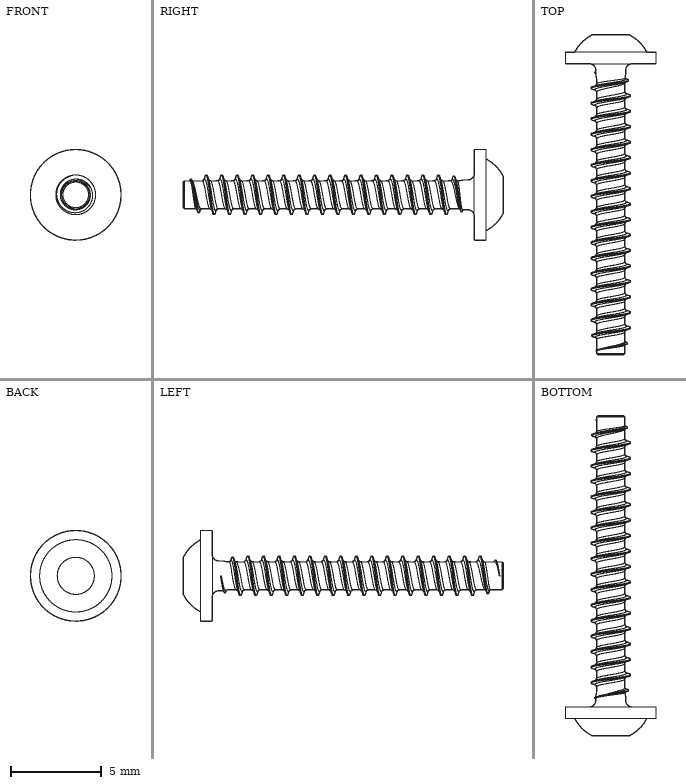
import cadquery as cq
import math

overall_length = 17.6

head_height = 1.6
flange_radius = 2.5
flange_thickness = 0.65
flange_edge_round = 0.05
dome_base_radius = 1.99
dome_flat_radius = 1.02

neck_fillet = 0.35
neck_radius = 0.83
neck_length = 0.56
neck_taper_length = 0.32
core_radius = 0.77
tip_chamfer = 0.07
tip_y = head_height - overall_length

thread_start_y = -0.48
thread_length = 15.31
thread_turns = 18
pitch = thread_length / thread_turns
crest_radius = 1.1
crest_half_width = 0.026
shoulder_radius = 0.86
shoulder_half_width = 0.09
foot_half_width = 0.28
buried_radius = 0.74
start_share = 0.4
end_share = 0.2
start_fade_turns = 1.0
end_fade_turns = 1.2
points_per_turn = 12


def make_head():
    dome_height = head_height - flange_thickness
    flat_offset = (dome_base_radius**2 - dome_flat_radius**2 + dome_height**2) / (2 * dome_height)
    sphere_radius = math.hypot(dome_flat_radius, flat_offset)
    centre_y = head_height - flat_offset
    mid_y = flange_thickness + dome_height / 2
    mid_radius = math.sqrt(sphere_radius**2 - (mid_y - centre_y) ** 2)
    dome = (
        cq.Workplane("XY")
        .moveTo(0, flange_thickness)
        .lineTo(dome_base_radius, flange_thickness)
        .threePointArc((mid_radius, mid_y), (dome_flat_radius, head_height))
        .lineTo(0, head_height)
        .close()
        .revolve(360, (0, 0, 0), (0, 1, 0))
    )
    flange = (
        cq.Workplane("XZ")
        .circle(flange_radius)
        .extrude(-flange_thickness)
        .edges()
        .fillet(flange_edge_round)
    )
    return flange.union(dome)


def make_shank():
    fillet_mid = neck_fillet * (1 - math.sqrt(0.5))
    return (
        cq.Workplane("XY")
        .moveTo(0, flange_thickness / 2)
        .lineTo(neck_radius + neck_fillet, flange_thickness / 2)
        .lineTo(neck_radius + neck_fillet, 0)
        .threePointArc((neck_radius + fillet_mid, -fillet_mid), (neck_radius, -neck_fillet))
        .lineTo(neck_radius, -neck_length)
        .lineTo(core_radius, -neck_length - neck_taper_length)
        .lineTo(core_radius, tip_y + tip_chamfer)
        .lineTo(core_radius - tip_chamfer, tip_y)
        .lineTo(0, tip_y)
        .close()
        .revolve(360, (0, 0, 0), (0, 1, 0))
    )


def thread_share(turn):
    """Share of the full thread section, in height and width, after the given number of turns."""
    fade_in = start_share + (1 - start_share) * turn / start_fade_turns
    fade_out = end_share + (1 - end_share) * (thread_turns - turn) / end_fade_turns
    return min(1, fade_in, fade_out)


def thread_edge(full_radius, offset, first_turn):
    """Helical edge over one turn, running from the neck towards the tip."""
    points = []
    for step in range(points_per_turn + 1):
        turn = first_turn + step / points_per_turn
        share = thread_share(turn)
        angle = 2 * math.pi * turn
        radius = buried_radius + (full_radius - buried_radius) * share
        y = thread_start_y - pitch * turn + offset * share
        points.append(cq.Vector(-radius * math.cos(angle), y, -radius * math.sin(angle)))
    return cq.Edge.makeSpline(points)


def make_thread_turn(first_turn):
    upper_side = [
        (crest_radius, crest_half_width),
        (shoulder_radius, shoulder_half_width),
        (buried_radius, foot_half_width),
    ]
    lower_side = [(radius, -half_width) for radius, half_width in reversed(upper_side)]
    section = lower_side + upper_side
    edges = [thread_edge(radius, offset, first_turn) for radius, offset in section]
    next_edges = edges[1:] + edges[:1]
    faces = [cq.Face.makeRuledSurface(a, b) for a, b in zip(edges, next_edges)]
    for corners in ([e.startPoint() for e in edges], [e.endPoint() for e in edges]):
        faces.append(cq.Face.makeFromWires(cq.Wire.makePolygon(corners, close=True)))
    return cq.Solid.makeSolid(cq.Shell.makeShell(faces))


screw = make_head().union(make_shank())
for turn in range(thread_turns):
    screw = screw.union(cq.Workplane(make_thread_turn(turn)))

result = screw.solids()